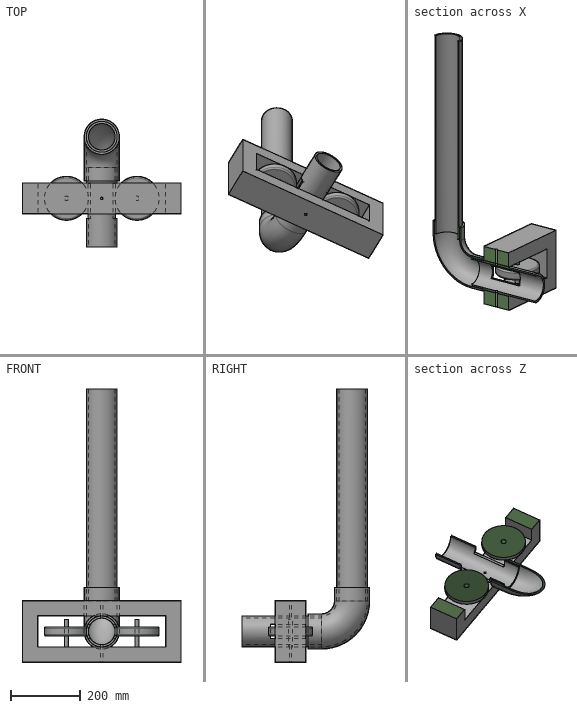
import cadquery as cq
import math


pipe_diameter = 89.0
bore_diameter = 76.0
elbow_diameter = 101.5
bend_radius = 88.0
socket_length = 38.5
pipe_front_y = -140.0
riser_axis_y = 177.0
pipe_back_y = riser_axis_y - bend_radius

frame_length = 457.5
frame_depth = pipe_diameter
frame_height = 2 * pipe_diameter
frame_side_wall = 45.0
opening_length = frame_length - 2 * frame_side_wall
opening_height = pipe_diameter
riser_top_z = 787.5 - frame_height / 2

wheel_diameter = 127.0
wheel_thickness = 27.0
wheel_fillet = 5.0
wheel_offset = (wheel_diameter + bore_diameter) / 2
slot_height = 40.0
slot_length = 100.0
slot_back_y = 42.5

axle_diameter = 12.5
axle_bottom_z = -opening_height / 2
axle_top_z = 35.0

pilot_diameter = 6.4


def cylinder_z(diameter, bottom_z, top_z, x=0.0, y=0.0):
    """Upright cylinder between two heights."""
    return (
        cq.Workplane("XY", origin=(x, y, bottom_z))
        .circle(diameter / 2)
        .extrude(top_z - bottom_z)
    )


def make_pilot_cutter():
    return cylinder_z(pilot_diameter, -frame_height / 2, frame_height / 2)


def make_frame():
    block = cq.Workplane("XY").box(frame_length, frame_depth, frame_height)
    opening = cq.Workplane("XY").box(opening_length, frame_depth, opening_height)
    return block.cut(opening).cut(make_pilot_cutter())


def make_horizontal_pipe():
    pipe = (
        cq.Workplane("XZ", origin=(0, pipe_back_y, 0))
        .circle(pipe_diameter / 2)
        .circle(bore_diameter / 2)
        .extrude(pipe_back_y - pipe_front_y)
    )
    slots = cq.Workplane("XY", origin=(0, slot_back_y - slot_length / 2, 0)).box(
        pipe_diameter, slot_length, slot_height
    )
    return pipe.cut(slots).cut(make_pilot_cutter())


def make_elbow():
    """Quarter bend with a straight socket at each end; the pipes stop where the bend starts."""
    bend_end = (riser_axis_y, bend_radius)
    half_bend = math.radians(45)
    bend_middle = (
        pipe_back_y + bend_radius * math.sin(half_bend),
        bend_radius * (1 - math.cos(half_bend)),
    )
    path = (
        cq.Workplane("YZ")
        .moveTo(pipe_back_y - socket_length, 0)
        .lineTo(pipe_back_y, 0)
        .threePointArc(bend_middle, bend_end)
        .lineTo(riser_axis_y, bend_radius + socket_length)
    )
    return (
        cq.Workplane("XZ", origin=(0, pipe_back_y - socket_length, 0))
        .circle(elbow_diameter / 2)
        .circle(pipe_diameter / 2)
        .sweep(path)
    )


def make_riser():
    outside = cylinder_z(pipe_diameter, bend_radius, riser_top_z, y=riser_axis_y)
    bore = cylinder_z(bore_diameter, bend_radius, riser_top_z, y=riser_axis_y)
    return outside.cut(bore)


def make_axle(x):
    return cylinder_z(axle_diameter, axle_bottom_z, axle_top_z, x=x)


def make_wheel(x):
    """Round-edged disc with a through hole for its axle."""
    half_thickness = wheel_thickness / 2
    disc = cylinder_z(wheel_diameter, -half_thickness, half_thickness, x=x).edges().fillet(wheel_fillet)
    return disc.cut(make_axle(x))


frame = make_frame()
horizontal_pipe = make_horizontal_pipe()
elbow = make_elbow()
riser = make_riser()

wheels = []
axles = []
for x in (-wheel_offset, wheel_offset):
    wheels.append(make_wheel(x).val())
    axles.append(make_axle(x).val())

result = cq.Compound.makeCompound(
    [frame.val(), horizontal_pipe.val(), elbow.val(), riser.val(), *wheels, *axles]
)